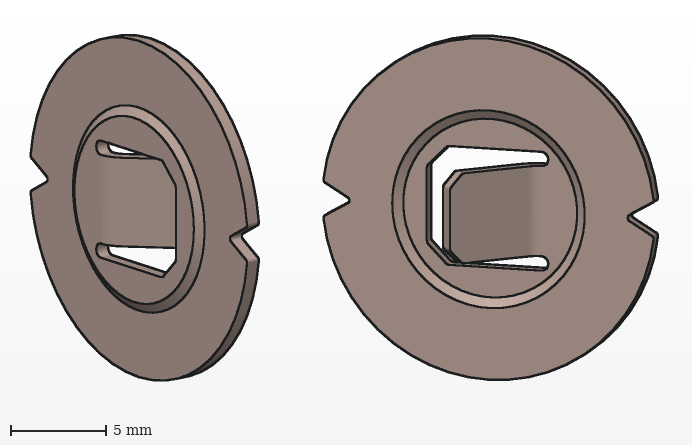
import cadquery as cq
import math

disc_radius = 9.12
sheet = 0.8
emboss_height = 0.31
emboss_base_radius = 5.5
emboss_top_radius = 5.0

notch_apex_x = 7.45
notch_half_angle = math.radians(30)
notch_root_radius = 0.18
notch_mouth_radius = 0.2

window_right = 3.48
window_half_height = 3.17
window_chamfer = 1.13
tab_half_width = 2.4
bend_start_x = -2.79
bend_outer_radius = 1.64
bend_angle = math.radians(45)
tab_reach = 3.23
tab_chamfer = 0.73
corner_radius = 0.27

front_y = -sheet
emboss_y = front_y - emboss_height
emboss_rear_y = emboss_y + sheet

emboss_slope = math.atan2(emboss_height, emboss_base_radius - emboss_top_radius)
recess_inset = sheet * math.tan(emboss_slope / 2)


def make_disc():
    """Revolve the embossed sheet section about the Y axis."""
    section = [
        (0, emboss_y),
        (emboss_top_radius, emboss_y),
        (emboss_base_radius, front_y),
        (disc_radius, front_y),
        (disc_radius, 0),
        (emboss_base_radius - recess_inset, 0),
        (emboss_top_radius - recess_inset, emboss_rear_y),
        (0, emboss_rear_y),
    ]
    return cq.Workplane("XY").polyline(section).close().revolve(360, (0, 0), (0, 1))


def cut_notches(disc):
    """Cut a rounded V into the disc edge at both ends of the X axis."""
    mouth_x = disc_radius + sheet
    mouth_half = (mouth_x - notch_apex_x) * math.tan(notch_half_angle)
    for side in (-1, 1):
        cutter = (
            cq.Workplane("XZ")
            .polyline([
                (side * notch_apex_x, 0),
                (side * mouth_x, mouth_half),
                (side * mouth_x, -mouth_half),
            ])
            .close()
            .extrude(sheet)
        )
        root = cq.selectors.NearestToPointSelector((side * notch_apex_x, front_y / 2, 0))
        disc = disc.cut(cutter.edges("|Y").edges(root).fillet(notch_root_radius))
    rim_x = disc_radius - 2 * notch_mouth_radius
    mouths = disc.edges("|Y").filter(lambda edge: abs(edge.Center().x) > rim_x)
    return mouths.fillet(notch_mouth_radius)


def make_window():
    """Window with chamfered right corners and two round-ended relief slots on the left."""
    depth = -emboss_y
    slot_width = window_half_height - tab_half_width
    width = window_right - bend_start_x
    window = (
        cq.Workplane("XZ")
        .center(bend_start_x + width / 2, 0)
        .rect(width, 2 * window_half_height)
        .extrude(depth)
        .edges("|Y and >X")
        .chamfer(window_chamfer)
        .edges("|Y and (not <X)")
        .fillet(corner_radius)
    )
    for side in (-1, 1):
        slot_end = (
            cq.Workplane("XZ")
            .center(bend_start_x, side * (tab_half_width + slot_width / 2))
            .circle(slot_width / 2)
            .extrude(depth)
        )
        window = window.union(slot_end)
    return window


def make_tab():
    """Sheet tab bent rearward from the left edge of the window."""
    bend_y = emboss_y + bend_outer_radius
    bend_inner_radius = bend_outer_radius - sheet

    def bend_point(radius, angle):
        return (bend_start_x + radius * math.sin(angle), bend_y - radius * math.cos(angle))

    inner_end = bend_point(bend_inner_radius, bend_angle)
    outer_end = bend_point(bend_outer_radius, bend_angle)
    length = (tab_reach - inner_end[1]) / math.sin(bend_angle)
    run = length * math.cos(bend_angle)
    rise = length * math.sin(bend_angle)
    tab = (
        cq.Workplane("XY")
        .workplane(offset=-tab_half_width)
        .moveTo(bend_start_x, emboss_y)
        .threePointArc(bend_point(bend_outer_radius, bend_angle / 2), outer_end)
        .lineTo(outer_end[0] + run, outer_end[1] + rise)
        .lineTo(inner_end[0] + run, inner_end[1] + rise)
        .lineTo(*inner_end)
        .threePointArc(
            bend_point(bend_inner_radius, bend_angle / 2), (bend_start_x, emboss_rear_y)
        )
        .close()
        .extrude(2 * tab_half_width)
    )
    along_tab = cq.Vector(math.cos(bend_angle), math.sin(bend_angle), 0)
    tip = cq.selectors.DirectionMinMaxSelector(along_tab, True)
    through_tab = cq.selectors.ParallelDirSelector(
        cq.Vector(-math.sin(bend_angle), math.cos(bend_angle), 0)
    )
    tab = tab.faces(tip).edges(through_tab).chamfer(tab_chamfer)
    return tab.edges(through_tab).fillet(corner_radius)


disc = cut_notches(make_disc())
result = disc.cut(make_window()).union(make_tab())